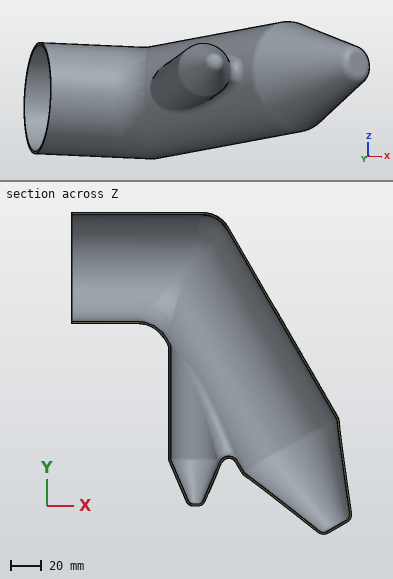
import cadquery as cq
import math

WALL = 1.5

PIPE_RADIUS = 36
INLET_LENGTH = 75
BEND_ANGLE = math.radians(60)
BEND_FILLET = 20

MAIN_STRAIGHT = 133.1
MAIN_LENGTH = 193.95
MAIN_TIP_RADIUS = 11.1
MAIN_FILLET = 6

BRANCH_X = 80.2
BRANCH_RADIUS = 17.5
BRANCH_STRAIGHT = 124.4
BRANCH_LENGTH = 154
BRANCH_TIP_RADIUS = 4.8
BRANCH_FILLET = 5
JUNCTION_FILLET = 5

REACH = 2 * (INLET_LENGTH + MAIN_LENGTH)

UP = cq.Vector(0, 0, 1)
CORNER = cq.Vector(INLET_LENGTH, 0, 0)
MAIN_DIRECTION = cq.Vector(math.cos(BEND_ANGLE), -math.sin(BEND_ANGLE), 0)
MITRE_NORMAL = cq.Vector(math.cos(BEND_ANGLE / 2), -math.sin(BEND_ANGLE / 2), 0)
BRANCH_ORIGIN = cq.Vector(BRANCH_X, 0, 0)
BRANCH_DIRECTION = cq.Vector(0, -1, 0)


def edge_centred_near(point):
    return cq.selectors.NearestToPointSelector(point.toTuple())


def nozzle(origin, direction, radius, straight, length, tip_radius, fillet, inset, start=0):
    """Round bar with a rounded conical end, its surface moved inwards by the inset."""
    half_angle = math.atan((radius - tip_radius) / (length - straight))
    body_radius = radius - inset
    shoulder = straight - inset * math.tan(half_angle / 2)
    end_radius = tip_radius - inset * math.tan(math.pi / 4 - half_angle / 2)
    end = length - inset

    plane = cq.Plane(origin=origin, xDir=direction.cross(UP), normal=UP)
    profile = [(0, start), (body_radius, start), (body_radius, shoulder), (end_radius, end), (0, end)]
    body = cq.Workplane(plane).polyline(profile).close().revolve(360, (0, 0), (0, 1))

    for corner in (shoulder, end):
        body = body.edges(edge_centred_near(origin + direction * corner)).fillet(fillet - inset)
    return body


def main_arm(inset):
    """Inlet and main nozzle meeting at the mitre, rounded on both sides of the bend."""
    mitre_plane = cq.Plane(origin=CORNER, xDir=UP, normal=MITRE_NORMAL)
    past_mitre = cq.Workplane(mitre_plane).rect(REACH, REACH).extrude(REACH)
    inlet = cq.Workplane("YZ").circle(PIPE_RADIUS - inset).extrude(2 * INLET_LENGTH).cut(past_mitre)
    main = nozzle(
        CORNER, MAIN_DIRECTION, PIPE_RADIUS, MAIN_STRAIGHT, MAIN_LENGTH,
        MAIN_TIP_RADIUS, MAIN_FILLET, inset, start=-INLET_LENGTH,
    )
    arm = inlet.union(main.intersect(past_mitre))

    far_end = CORNER + MAIN_DIRECTION * REACH
    inner_side = (
        cq.Workplane("XY")
        .polyline([(-REACH, 0), (CORNER.x, 0), (far_end.x, far_end.y), (-REACH, far_end.y)])
        .close()
        .extrude(REACH, both=True)
    )
    outer_half = arm.cut(inner_side).edges("%ELLIPSE").fillet(BEND_FILLET - inset)
    inner_half = arm.intersect(inner_side).edges("%ELLIPSE").fillet(BEND_FILLET + inset)
    return outer_half.union(inner_half).clean()


def pipe_body(inset):
    """Main arm and branch nozzle blended together, the whole surface moved inwards by the inset."""
    branch = nozzle(
        BRANCH_ORIGIN, BRANCH_DIRECTION, BRANCH_RADIUS, BRANCH_STRAIGHT, BRANCH_LENGTH,
        BRANCH_TIP_RADIUS, BRANCH_FILLET, inset,
    )
    body = main_arm(inset).union(branch)

    axis_exit = (
        (BRANCH_X - INLET_LENGTH) * math.tan(BEND_ANGLE)
        + (PIPE_RADIUS - inset) / math.cos(BEND_ANGLE)
    )
    junction = edge_centred_near(BRANCH_ORIGIN + BRANCH_DIRECTION * axis_exit)
    return body.edges(junction).fillet(JUNCTION_FILLET + inset)


result = pipe_body(0).cut(pipe_body(WALL))